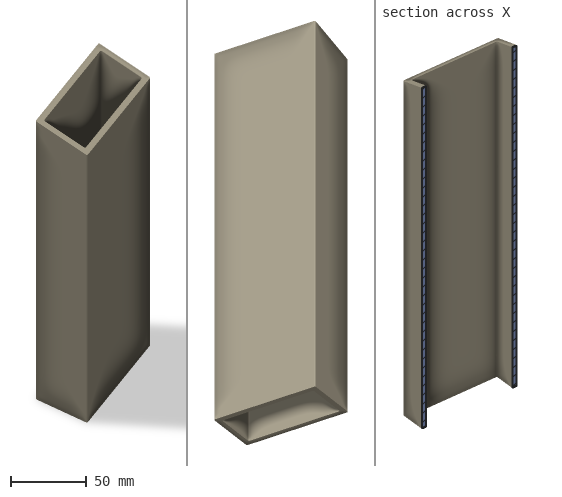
import cadquery as cq
import math

width = 40.0
depth = 80.0
height = 280.0
wall = width / 10
corner_radius = 1.0
cut_angle = 15.0

low_side_height = height - width * math.tan(math.radians(cut_angle))

body = (
    cq.Workplane("XZ")
    .polyline([
        (-width / 2, 0),
        (width / 2, 0),
        (width / 2, low_side_height),
        (-width / 2, height),
    ])
    .close()
    .extrude(depth / 2, both=True)
    .edges("|Z")
    .fillet(corner_radius)
)

bore = (
    cq.Workplane("XY")
    .rect(width - 2 * wall, depth - 2 * wall)
    .extrude(height)
    .edges("|Z")
    .fillet(corner_radius)
)

result = body.cut(bore)